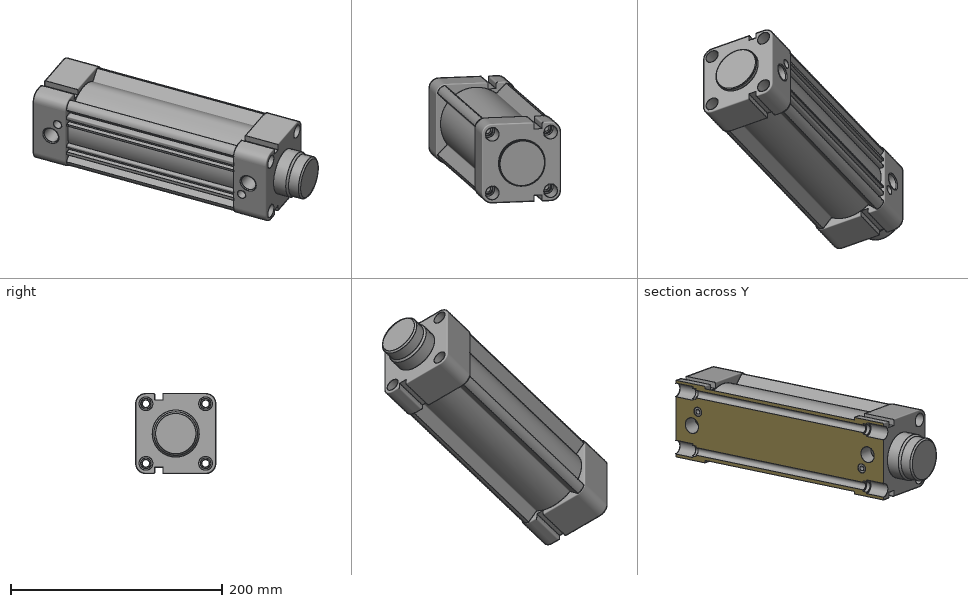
import cadquery as cq
TOTAL_LENGTH = 277.0
CAP_SIDE = 76.0
CAP_LENGTH = 35.0
REAR_CAP_FILLET = 1.2
FRONT_CAP_FILLET = 1.0

COLLAR_LENGTH = 3.7
COLLAR_DIAMETER = 44.6
COLLAR_CHAMFER = 0.8

BOSS_DIAMETER = COLLAR_DIAMETER
BOSS_LENGTH = 15.0
BOSS_TAPER_LENGTH = 2.2
ROD_DIAMETER = 41.4
ROD_LENGTH = 12.0
ROD_CHAMFER = 1.6

NOTCH_CENTRE_Y = -16.0
NOTCH_WIDTH = 7.6
NOTCH_DEPTH = 6.0
NOTCH_EDGE_FILLET = 1.6

BOLT_SPACING = 56.5
BOLT_HOLE_DIAMETER = 7.0
BOLT_STEP_DIAMETER = 10.0
BOLT_HEAD_DIAMETER = 13.0
BOLT_HEAD_DEPTH = 20.0
BOLT_STEP_DEPTH = 4.0

PORT_DIAMETER = 15.0
PORT_CHAMFER = 1.0
PORT_OFFSET_X = 1.6
PORT_OFFSET_Z = 3.7
SCREW_DIAMETER = 8.6
SCREW_DEPTH = 10.0
SOCKET_DIAMETER = 4.6
SCREW_OFFSET_X = 8.6
SCREW_OFFSET_Z = 11.1

CHAMBER_DIAMETER = 26.0
CHAMBER_LENGTH = 28.0

TUBE_SIDE = 74.0
BARREL_RADIUS = 34.0
RECESS_DROP = 7.3
VALLEY_FILLET = 1.0

RAIL_OUTER_Z = 22.2
RAIL_INNER_Z = 10.7
RAIL_FACE_Y = -36.5
RAIL_EDGE_FILLET = 1.2
SLOT_OUTER_Z = 18.5
SLOT_INNER_Z = 13.2
SLOT_DEPTH = 5.0

CAP_HALF = CAP_SIDE / 2
TUBE_HALF = TUBE_SIDE / 2
CAP_CORNER_RADIUS = CAP_HALF - BOLT_SPACING / 2
TUBE_CORNER_RADIUS = TUBE_HALF - BOLT_SPACING / 2
REAR_CAP_X = COLLAR_LENGTH
TUBE_START_X = REAR_CAP_X + CAP_LENGTH
FRONT_FACE_X = TOTAL_LENGTH - ROD_LENGTH - BOSS_LENGTH
FRONT_CAP_X = FRONT_FACE_X - CAP_LENGTH
TUBE_LENGTH = FRONT_CAP_X - TUBE_START_X


def box(x_range, y_range, z_range):
    """Axis-aligned block between the given limits."""
    (x0, x1), (y0, y1), (z0, z1) = x_range, y_range, z_range
    return cq.Workplane("XY").box(x1 - x0, y1 - y0, z1 - z0, centered=False).translate((x0, y0, z0))


def revolved(points):
    """Solid turned about the X axis from (x, radius) points."""
    return cq.Workplane("XZ").polyline(points).close().revolve(360, (0, 0, 0), (1, 0, 0))


def bore(x, z, diameter, depth):
    """Cylindrical cutter going into the -Y cap face to the given depth."""
    plane = cq.Workplane("XZ", origin=(x, -CAP_HALF, z))
    return plane.circle(diameter / 2).extrude(-depth)


def make_tube():
    """Square tube with rounded corners, its sides recessed at 45 degrees down to the barrel."""
    tube = (
        cq.Workplane("YZ", origin=(TUBE_START_X, 0, 0))
        .rect(TUBE_SIDE, TUBE_SIDE)
        .extrude(TUBE_LENGTH)
        .edges("|X")
        .fillet(TUBE_CORNER_RADIUS)
    )
    half_width = TUBE_HALF - RECESS_DROP
    recess = (
        cq.Workplane("YZ", origin=(TUBE_START_X, 0, 0))
        .polyline([(-half_width, TUBE_HALF), (half_width, TUBE_HALF), (0, RECESS_DROP)])
        .close()
        .extrude(TUBE_LENGTH)
    )
    barrel = cq.Workplane("YZ", origin=(TUBE_START_X, 0, 0)).circle(BARREL_RADIUS).extrude(TUBE_LENGTH)
    recess = recess.cut(barrel)
    recess = recess.edges("|X").edges("<Z").fillet(VALLEY_FILLET)
    for turn in range(4):
        tube = tube.cut(recess.rotate((0, 0, 0), (1, 0, 0), 90 * turn))
    return tube


def make_rails():
    """Two slotted sensor rails along the -Y side of the barrel."""
    root_y = -BARREL_RADIUS / 2
    rail = box((TUBE_START_X, FRONT_CAP_X), (RAIL_FACE_Y, root_y), (RAIL_INNER_Z, RAIL_OUTER_Z))
    rail = rail.faces("<Y").edges("|X").fillet(RAIL_EDGE_FILLET)
    slot = box(
        (TUBE_START_X, FRONT_CAP_X),
        (RAIL_FACE_Y, RAIL_FACE_Y + SLOT_DEPTH),
        (SLOT_INNER_Z, SLOT_OUTER_Z),
    )
    rail = rail.cut(slot)
    return rail.union(rail.mirror("XY"))


def make_cap(start_x, edge_fillet):
    """End cap: rounded block with notches in its top and bottom."""
    cap = (
        cq.Workplane("YZ", origin=(start_x, 0, 0))
        .rect(CAP_SIDE, CAP_SIDE)
        .extrude(CAP_LENGTH)
        .edges("|X")
        .fillet(CAP_CORNER_RADIUS)
        .faces("<X or >X")
        .edges()
        .fillet(edge_fillet)
    )
    notch = (
        cq.Workplane("YZ", origin=(start_x, NOTCH_CENTRE_Y, CAP_HALF - NOTCH_DEPTH / 2))
        .rect(NOTCH_WIDTH, NOTCH_DEPTH)
        .extrude(CAP_LENGTH)
    )
    edge_y = NOTCH_CENTRE_Y - NOTCH_WIDTH / 2
    r = NOTCH_EDGE_FILLET
    rounding = (
        cq.Workplane("YZ", origin=(start_x, edge_y, CAP_HALF))
        .lineTo(-r, 0)
        .radiusArc((0, -r), r)
        .close()
        .extrude(CAP_LENGTH)
    )
    cutter = notch.union(rounding)
    return cap.cut(cutter).cut(cutter.mirror("XY"))


def cut_air_passages(body, cap_x, toward_tube):
    """Chamber, air port and cushion screw of a cap; toward_tube is the X direction to the tube."""
    centre_x = cap_x + CAP_LENGTH / 2
    port_x = centre_x + toward_tube * PORT_OFFSET_X
    port_z = -toward_tube * PORT_OFFSET_Z
    screw_x = centre_x + toward_tube * SCREW_OFFSET_X
    screw_z = toward_tube * SCREW_OFFSET_Z
    port = bore(port_x, port_z, PORT_DIAMETER, CAP_HALF)
    mouth = cq.Workplane(
        cq.Solid.makeCone(
            PORT_DIAMETER / 2 + PORT_CHAMFER,
            PORT_DIAMETER / 2,
            PORT_CHAMFER,
            pnt=cq.Vector(port_x, -CAP_HALF, port_z),
            dir=cq.Vector(0, 1, 0),
        )
    )
    screw = bore(screw_x, screw_z, SCREW_DIAMETER, SCREW_DEPTH)
    socket = bore(screw_x, screw_z, SOCKET_DIAMETER, CAP_HALF - CHAMBER_DIAMETER / 4)
    chamber = (
        cq.Workplane("YZ", origin=(centre_x + toward_tube * CAP_LENGTH / 2, 0, 0))
        .circle(CHAMBER_DIAMETER / 2)
        .extrude(-toward_tube * CHAMBER_LENGTH)
    )
    return body.cut(port).cut(mouth).cut(screw).cut(socket).cut(chamber)


def make_bolt_cutter():
    """Four stepped tie-bolt holes, through the caps and tube from both ends."""
    cutter = cq.Workplane("YZ")
    end_steps = (
        (BOLT_HOLE_DIAMETER, FRONT_FACE_X - REAR_CAP_X),
        (BOLT_STEP_DIAMETER, BOLT_HEAD_DEPTH + BOLT_STEP_DEPTH),
        (BOLT_HEAD_DIAMETER, BOLT_HEAD_DEPTH),
    )
    for diameter, depth in end_steps:
        for start_x, direction in ((REAR_CAP_X, 1), (FRONT_FACE_X, -1)):
            holes = (
                cq.Workplane("YZ", origin=(start_x, 0, 0))
                .rect(BOLT_SPACING, BOLT_SPACING, forConstruction=True)
                .vertices()
                .circle(diameter / 2)
                .extrude(direction * depth)
            )
            cutter = cutter.add(holes)
    return cutter.combine()


def make_collar():
    """Low locating collar on the rear cap."""
    radius = COLLAR_DIAMETER / 2
    return revolved([
        (0, 0),
        (0, radius - COLLAR_CHAMFER),
        (COLLAR_CHAMFER, radius),
        (COLLAR_LENGTH, radius),
        (COLLAR_LENGTH, 0),
    ])


def make_nose():
    """Front boss tapering to the chamfered rod end."""
    boss_radius = BOSS_DIAMETER / 2
    rod_radius = ROD_DIAMETER / 2
    rod_start_x = FRONT_FACE_X + BOSS_LENGTH
    return revolved([
        (FRONT_FACE_X, 0),
        (FRONT_FACE_X, boss_radius),
        (rod_start_x - BOSS_TAPER_LENGTH, boss_radius),
        (rod_start_x, rod_radius),
        (TOTAL_LENGTH - ROD_CHAMFER, rod_radius),
        (TOTAL_LENGTH, rod_radius - ROD_CHAMFER),
        (TOTAL_LENGTH, 0),
    ])


body = make_tube().union(make_rails())
body = body.union(make_cap(REAR_CAP_X, REAR_CAP_FILLET))
body = body.union(make_cap(FRONT_CAP_X, FRONT_CAP_FILLET))
body = body.cut(make_bolt_cutter())
body = cut_air_passages(body, REAR_CAP_X, 1)
body = cut_air_passages(body, FRONT_CAP_X, -1)
result = body.union(make_collar()).union(make_nose())